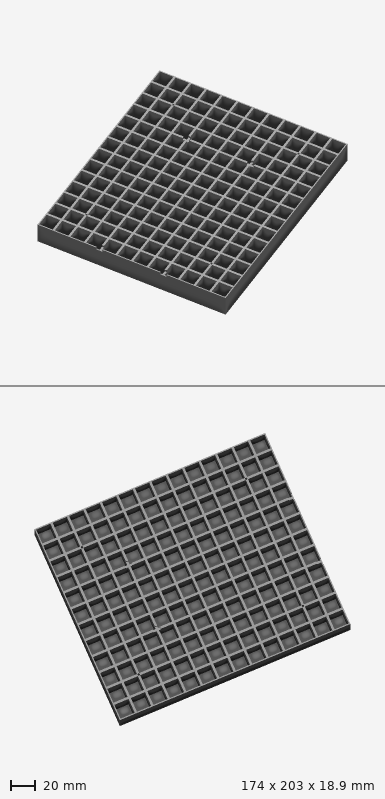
import cadquery as cq

length = 203.0
columns = 12
rows = 14
pitch = length / rows
width = columns * pitch
height = 18.9
floor = 2.0
wall = 1.99
cell = pitch - wall
cell_depth = height - floor

pin_hole_diameter = 1.8
pin_x = 57.9
pin_y = 72.3

recess_diameter = 6.5
recess_depth = 2.0
recess_x = 29.6
recess_front_inset = 1.6
recess_front_y = recess_front_inset - length / 2
recess_rear_y = 43.8


def round_cutters(points, diameter, depth):
    """Cylinders that reach down from the top face by the given depth."""
    return (
        cq.Workplane("XY")
        .workplane(offset=height - depth)
        .pushPoints(points)
        .circle(diameter / 2)
        .extrude(depth)
    )


def mirrored_points(x, y_values):
    """Points at -x and +x for each of the given y values."""
    return [(side * x, y) for side in (-1, 1) for y in y_values]


block = cq.Workplane("XY").box(width, length, height, centered=(True, True, False))

tray = (
    block.faces(">Z")
    .workplane()
    .rarray(pitch, pitch, columns, rows)
    .rect(cell, cell)
    .cutBlind(-cell_depth)
)

pin_points = mirrored_points(pin_x, (-pin_y, pin_y))
tray = tray.cut(round_cutters(pin_points, pin_hole_diameter, cell_depth))

recess_points = mirrored_points(recess_x, (recess_front_y, recess_rear_y))
result = tray.cut(round_cutters(recess_points, recess_diameter, recess_depth))